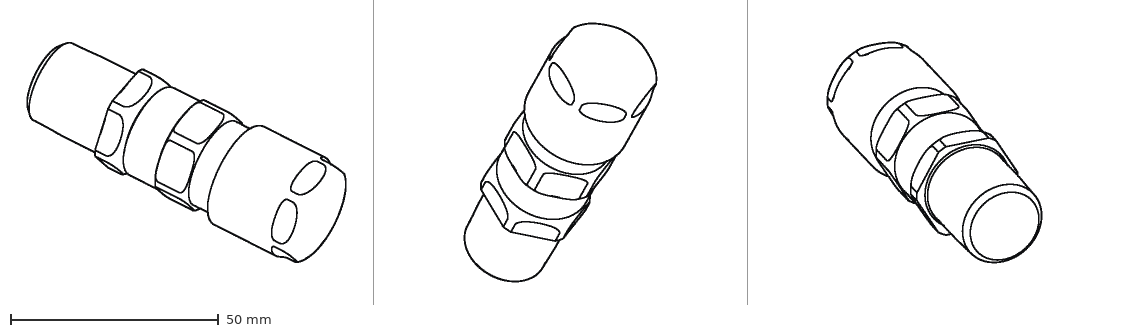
import cadquery as cq
import math

LENGTH = 78.75

HEX_FLATS = 24.0
HEX_ROUND_R = 26.5 / 2
END_ROUNDING = 3.0

TIP_R = 18.0 / 2
TIP_CHAMFER_X = 1.5
TAPER_X = 9.85
THREAD_R = 21.35 / 2
TAPER_RATE = 1 / 32
FLARE = 0.5
ENTRY_HEX_X = 22.45
ENTRY_HEX_WIDTH = 6.1
NECK_R = 19.1 / 2

BODY_X = 29.2
BODY_R = 23.6 / 2
BODY_ROUNDING = 0.95
BODY_HEX_X = 39.1
BODY_HEX_WIDTH = 9.05
COLLAR_R = 22.6 / 2

NUT_X = 54.65
NUT_ROUNDING = 0.6
FLAT_START_X = 73.1
FLAT_RUNOUT_R = HEX_ROUND_R - HEX_FLATS / 2


def turned(profile):
    """Revolve a closed profile, drawn as (x, radius), about the X axis."""
    return profile.close().revolve(360, (0, 0, 0), (1, 0, 0))


def cylinder(x_start, x_end, radius):
    return cq.Workplane("YZ", origin=(x_start, 0, 0)).circle(radius).extrude(x_end - x_start)


def hexagon(x_start, x_end):
    """Hexagonal prism with corners pointing along Y and flats facing along Z."""
    corner_diameter = HEX_FLATS / math.cos(math.pi / 6)
    return (
        cq.Workplane("YZ", origin=(x_start, 0, 0))
        .polygon(6, corner_diameter)
        .extrude(x_end - x_start)
    )


def make_entry_fitting():
    hex_end = ENTRY_HEX_X + ENTRY_HEX_WIDTH
    taper_start_r = THREAD_R - TAPER_RATE * (TAPER_X - TIP_CHAMFER_X)
    thread = turned(
        cq.Workplane("XY")
        .moveTo(0, 0)
        .lineTo(0, TIP_R)
        .lineTo(TIP_CHAMFER_X, taper_start_r)
        .lineTo(TAPER_X, THREAD_R)
        .lineTo(ENTRY_HEX_X - FLARE, THREAD_R)
        .lineTo(ENTRY_HEX_X, THREAD_R + FLARE)
        .lineTo(ENTRY_HEX_X, 0)
    )
    hex_blank = cylinder(ENTRY_HEX_X, hex_end, HEX_ROUND_R).faces(">X").edges().fillet(END_ROUNDING)
    hex_ring = hex_blank.intersect(hexagon(ENTRY_HEX_X, hex_end))
    neck = cylinder(hex_end, BODY_X, NECK_R)
    return thread.union(hex_ring).union(neck)


def make_main_body():
    hex_end = BODY_HEX_X + BODY_HEX_WIDTH
    barrel = cylinder(BODY_X, BODY_HEX_X, BODY_R).faces("<X").edges().fillet(BODY_ROUNDING)
    hex_blank = cylinder(BODY_HEX_X, hex_end, HEX_ROUND_R)
    hex_blank = hex_blank.faces("<X or >X").edges().fillet(HEX_ROUND_R - BODY_R)
    hex_ring = hex_blank.intersect(hexagon(BODY_HEX_X, hex_end))
    collar = cylinder(hex_end, NUT_X, COLLAR_R)
    return barrel.union(hex_ring).union(collar)


def flat_cutter():
    """Material above one wrench flat, with a concave run-out at its inner end."""
    flat_z = HEX_FLATS / 2
    return (
        cq.Workplane("XZ")
        .moveTo(FLAT_START_X, HEX_ROUND_R + FLAT_RUNOUT_R)
        .lineTo(FLAT_START_X, HEX_ROUND_R)
        .radiusArc((FLAT_START_X + FLAT_RUNOUT_R, flat_z), -FLAT_RUNOUT_R)
        .lineTo(LENGTH, flat_z)
        .lineTo(LENGTH, HEX_ROUND_R + FLAT_RUNOUT_R)
        .close()
        .extrude(HEX_ROUND_R, both=True)
    )


def make_nut():
    nut = cylinder(NUT_X, LENGTH, HEX_ROUND_R)
    nut = nut.faces("<X").edges().fillet(NUT_ROUNDING)
    nut = nut.faces(">X").edges().fillet(END_ROUNDING)
    cutter = flat_cutter()
    for side in range(6):
        nut = nut.cut(cutter.rotate((0, 0, 0), (1, 0, 0), side * 60))
    return nut


entry_fitting = make_entry_fitting()
main_body = make_main_body()
nut = make_nut()

result = cq.Compound.makeCompound([entry_fitting.val(), main_body.val(), nut.val()])